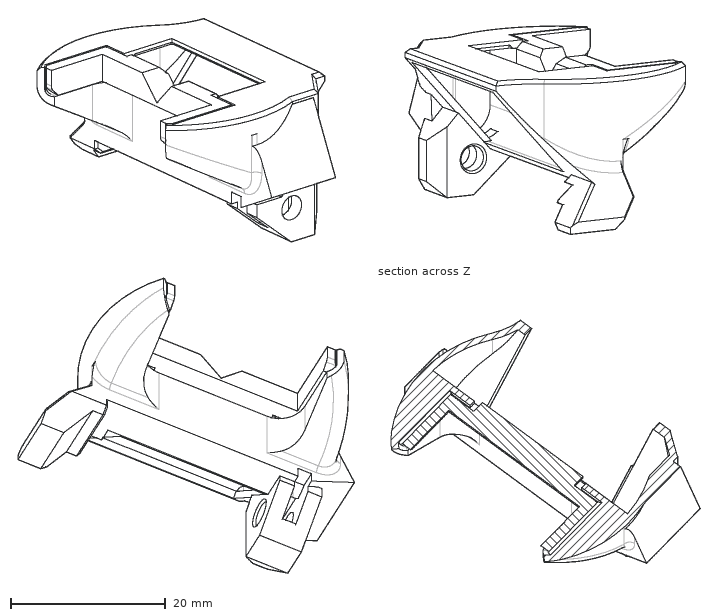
import cadquery as cq
import math

wall = 1.0
top_chamfer = 0.5
floor_top = -13.2
floor_bottom = -14.07
margin = 0.05
overshoot = 0.45
far = 43.3

disc_radius = 17.5
back_y = 15.98
tip_y = -11.65
tip_x = math.sqrt(disc_radius**2 - tip_y**2)
back_left_x = -12.5
back_right_x = 11.9
notch_corner_y = 14.45
flare_radius = (back_left_x**2 + back_y**2 - disc_radius**2) / (2 * (disc_radius + back_left_x))
side_x = 15.95
side_back_y = 11.55

rim_height = 1.2
slope_foot_y = 5.15
slope_angle = math.atan2(-rim_height - floor_top, back_y - slope_foot_y)

arm_slope = math.radians(30)
arm_root_z = -11.15
arm_rounding = 2.5
arm_root_fillet = 1.0
root_top_z = -2.6
root_left_top_z = -8.23
arm_inner_x = 11.45
arm_inner_fillet = 3.65
tip_inner_y = tip_y + tip_x - arm_inner_x

window_half_width = 9.45
window_back_y = 7.95
window_lip = 0.5
front_wall = 0.9
floor_fillet = 3.4
rear_opening_half_width = 10.82

leg_width = 10.7
leg_left_x = -22.8
leg_shoulder_z = -17.25
leg_bottom_z = -18.75
leg_sole_z = -16.1
leg_sole_left_x = -16.9
leg_inner_x = -15.1
leg_root_x = -13
leg_root_z = -6.93
leg_front_z = -15.25
leg_toe_y = 4.05
leg_heel_z = -17.9
leg_edge_chamfer = 0.3
leg_root_fillet = 2.0

block_corner_x = 20.5
block_corner_z = -10.6
block_foot_x = 14.05
block_top_x = 15.98
block_top_z = -0.85

post_left_x = 10.18
post_right_x = 16.25
post_front_z = -15.0
post_bottom_z = -19.9
post_toe_y = 6.8
post_front_y = 1.0
post_back_y = 12.7
post_chamfer = 2.0
post_top_y = 9.05
screw_diameter = 3.3
screw_chamfer = 0.3
screw_y = 6.85
screw_z = -15.15
nut_left_x = 12.3
nut_thickness = 1.95
nut_width = 5.5

gap = 0.3
pocket_half_width = 13.05
pocket_corner = 0.6
pocket_front_y = -10.85
pocket_depth = 4.03
pocket_fillet = 1.15
insert_half_width = pocket_half_width - gap
insert_inner_x = 11.05
insert_bar_front_y = -2.35
insert_height = 3.75
insert_fillet = 1.0
tongue_half_width = 8.55
tongue_back_y = 1.45
tongue_chamfer = 0.9
vee_half_width = 3.0
vee_depth = 3.25
insert_tip_chamfer = 1.15
insert_tip_fillet = 1.0


def prism_along_y(points, start_y, end_y):
    """Extrude an XZ outline from start_y to end_y."""
    plane = cq.Workplane("XZ", origin=(0, start_y, 0))
    return plane.polyline(points).close().extrude(start_y - end_y)


def prism_along_x(points, start_x, end_x):
    """Extrude a YZ outline from start_x to end_x."""
    plane = cq.Workplane("YZ", origin=(start_x, 0, 0))
    return plane.polyline(points).close().extrude(end_x - start_x)


def prism_down(points, top_z, bottom_z):
    """Extrude an XY outline from top_z down to bottom_z."""
    plane = cq.Workplane("XY", origin=(0, 0, top_z))
    return plane.polyline(points).close().extrude(bottom_z - top_z)


def slope_y(z):
    """Y of the outer sloping back face at height z."""
    return slope_foot_y + (z - floor_top) / math.tan(slope_angle)


def block_side_z(x):
    """Z of the tilted block's outer face at x."""
    steepness = (block_top_z - block_corner_z) / (block_corner_x - block_top_x)
    return block_corner_z + steepness * (block_corner_x - x)


def plan_outline():
    """Closed plan of the housing: disc sides, flared left corner, cut right corner."""
    flare_x = back_left_x - flare_radius
    blend = disc_radius / (disc_radius + flare_radius)
    blend_point = (flare_x * blend, back_y * blend)
    mid_angle = math.atan2(blend_point[1] - back_y, blend_point[0] - flare_x) / 2
    flare_mid = (
        flare_x + flare_radius * math.cos(mid_angle),
        back_y + flare_radius * math.sin(mid_angle),
    )
    side_front_y = math.sqrt(disc_radius**2 - side_x**2)
    return (
        cq.Workplane("XY")
        .moveTo(back_left_x, back_y)
        .lineTo(back_right_x, back_y)
        .lineTo(back_right_x, notch_corner_y)
        .lineTo(side_x, side_back_y)
        .lineTo(side_x, side_front_y)
        .threePointArc((0, -disc_radius), blend_point)
        .threePointArc(flare_mid, (back_left_x, back_y))
        .close()
    )


def head_blank():
    """Full-height plan, with a complete disc in front, chamfered around its top."""
    blank = plan_outline().extrude(floor_bottom)
    return blank.faces(">Z").edges().chamfer(top_chamfer)


def main_body(blank):
    """Part of the head behind Y = 0, under which the back face slopes forward."""
    profile = [
        (0, 0),
        (back_y, 0),
        (back_y, -rim_height),
        (slope_foot_y, floor_top),
        (slope_y(floor_bottom), floor_bottom),
        (0, floor_bottom),
    ]
    return blank.intersect(prism_along_x(profile, -far, far))


def arms(blank):
    """Part of the head in front of Y = 0, with a rising, rounded underside."""
    tip_z = arm_root_z - tip_y * math.tan(arm_slope)
    profile = [(0, 0), (tip_y, 0), (tip_y, tip_z), (0, arm_root_z)]
    solid = blank.intersect(prism_along_x(profile, -far, far))
    lower_edges = solid.faces("<Z").edges("not |X")
    return lower_edges.fillet(arm_rounding)


def arms_with_root(blank):
    """Arms with one fillet along their root on the Y = 0 face.

    The fillet is made on a temporary wall, then trimmed to the silhouette of the body behind the arms.
    """
    root_wall = prism_along_y([(-far, root_top_z), (far, root_top_z), (far, -far), (-far, -far)], 0, wall)
    around_root = cq.selectors.BoxSelector(
        (-far, -margin, arm_root_z - margin), (far, margin, root_top_z - margin)
    )
    plain_arms = arms(blank)
    filleted = plain_arms.union(root_wall).edges(around_root).fillet(arm_root_fillet)
    silhouette = [
        (-arm_inner_x, root_top_z),
        (disc_radius, root_top_z),
        (disc_radius, block_side_z(disc_radius)),
        (block_corner_x, block_corner_z),
        (block_foot_x, floor_bottom),
        (-disc_radius, floor_bottom),
        (-disc_radius, root_left_top_z),
        (-arm_inner_x, root_left_top_z),
    ]
    return plain_arms.union(filleted.intersect(prism_along_y(silhouette, tip_y, 0)))


def leg():
    """Left leg: a 45 degree strap with a foot, cut off obliquely at both ends."""
    inner_x = leg_root_x + wall
    section = [
        (leg_left_x, leg_shoulder_z),
        (inner_x, leg_shoulder_z + inner_x - leg_left_x),
        (inner_x, floor_bottom),
        (leg_inner_x, floor_bottom),
        (leg_inner_x, leg_sole_z),
        (leg_sole_left_x, leg_sole_z),
        (leg_sole_left_x + leg_bottom_z - leg_sole_z, leg_bottom_z),
        (leg_left_x, leg_bottom_z),
    ]
    side = [
        (0, leg_root_z),
        (slope_y(leg_root_z), leg_root_z),
        (slope_foot_y, floor_top),
        (leg_width, leg_heel_z),
        (leg_width, leg_bottom_z),
        (leg_toe_y, leg_bottom_z),
        (0, leg_front_z),
    ]
    disc = cq.Workplane("XY").circle(disc_radius).extrude(floor_bottom)
    strap = prism_along_y(section, -leg_width - wall, leg_width + wall).union(disc)
    strap = strap.edges("%ELLIPSE").fillet(leg_root_fillet)
    solid = strap.intersect(prism_along_x(side, -far, leg_root_x))
    rim = solid.faces("+(-1,0,1)").edges("%LINE and (not |Y)").edges("not >X")
    solid = rim.chamfer(leg_edge_chamfer)
    inner_edges = cq.selectors.BoxSelector(
        (leg_inner_x - margin, -margin, leg_sole_z - margin),
        (leg_inner_x + margin, slope_foot_y, floor_bottom - margin),
    )
    return solid.edges(inner_edges).chamfer(leg_edge_chamfer)


def block():
    """Tilted block on the right side."""
    section = [
        (block_corner_x, block_corner_z),
        (block_top_x, block_top_z),
        (side_x - wall, block_top_z),
        (block_foot_x, floor_bottom),
    ]
    return prism_along_y(section, 0, leg_width)


def below_block():
    """Space under the block's lower face, which also trims the disc."""
    section = [
        (block_foot_x, floor_bottom),
        (block_corner_x, block_corner_z),
        (far, block_corner_z),
        (far, -far),
        (block_foot_x, -far),
    ]
    return prism_along_y(section, -overshoot, far)


def front_opening():
    """Space between the arms, with 45 degree arm tips and rounded roots."""
    points = [
        (-arm_inner_x, 0),
        (arm_inner_x, 0),
        (arm_inner_x, tip_inner_y),
        (arm_inner_x + far, tip_inner_y - far),
        (-arm_inner_x - far, tip_inner_y - far),
        (-arm_inner_x, tip_inner_y),
    ]
    return prism_down(points, overshoot, -far).edges("|Z and >Y").fillet(arm_inner_fillet)


def insert_pocket():
    """Seat for the insert, together with the window behind it."""
    corner_x = pocket_half_width - pocket_corner
    corner_y = pocket_front_y + pocket_corner
    points = [
        (-pocket_half_width, 0),
        (pocket_half_width, 0),
        (pocket_half_width, corner_y),
        (corner_x, pocket_front_y),
        (-corner_x, pocket_front_y),
        (-pocket_half_width, corner_y),
    ]
    seat = prism_down(points, overshoot, -pocket_depth)
    seat = seat.faces("<Z").edges("not |X").fillet(pocket_fillet)
    window = cq.Workplane("XY").box(
        2 * window_half_width, window_back_y + overshoot, pocket_depth + overshoot, centered=(True, False, False)
    ).translate((0, -overshoot, -pocket_depth))
    return seat.union(window)


def inner_space():
    """Hollow under the top plate, open to the rear over its middle part."""
    roof = -2 * window_lip
    back_wall_run = wall / math.sin(slope_angle)
    roof_end_y = slope_y(roof) - back_wall_run
    through = 4 * wall
    lip_y = roof_end_y + through * math.sin(slope_angle)
    lip_z = roof - through * math.cos(slope_angle)
    tunnel_profile = [
        (front_wall, roof),
        (roof_end_y, roof),
        (lip_y, lip_z),
        (lip_y, floor_top),
        (front_wall, floor_top),
    ]
    tunnel = prism_along_x(tunnel_profile, -far, far).edges("|X and <Y and <Z").fillet(floor_fillet)
    inside_plan = plan_outline().offset2D(-wall).extrude(floor_top)
    inside_back = [
        (0, 0),
        (slope_y(0) - back_wall_run, 0),
        (slope_foot_y - back_wall_run, floor_top),
        (0, floor_top),
    ]
    wide_part = tunnel.intersect(inside_plan).intersect(prism_along_x(inside_back, -far, far))
    middle = cq.Workplane("XY").box(2 * rear_opening_half_width, 2 * far, 2 * far)
    open_part = tunnel.intersect(middle)
    flare_front_y = front_wall + wall
    window_flare = (
        cq.Workplane("XY", origin=(0, (window_back_y + flare_front_y) / 2, -window_lip))
        .rect(2 * window_half_width, window_back_y - flare_front_y)
        .extrude(-window_lip, taper=-45)
    )
    return wide_part.union(open_part).union(window_flare)


def post():
    """Screw post under the right side."""
    top_z = floor_top + (post_top_y - slope_foot_y) * math.tan(slope_angle)
    profile = [
        (post_front_y, floor_top),
        (slope_foot_y, floor_top),
        (post_top_y, top_z),
        (post_back_y, top_z - (post_back_y - post_top_y)),
        (post_back_y, post_bottom_z + post_chamfer),
        (post_back_y - post_chamfer, post_bottom_z),
        (post_toe_y, post_bottom_z),
        (post_front_y, post_front_z),
    ]
    solid = prism_along_x(profile, post_left_x, post_right_x)
    plan = (
        cq.Workplane("XY")
        .moveTo((post_left_x + post_right_x) / 2, post_back_y / 2)
        .rect(post_right_x - post_left_x, post_back_y)
        .extrude(-far)
        .edges("|Z and >Y")
        .chamfer(post_chamfer)
    )
    return solid.intersect(plan)


def screw_and_nut():
    """Cross hole with a chamfered mouth, and the nut slot that enters from the front."""
    radius = screw_diameter / 2
    axis_plane = cq.Workplane("YZ", origin=(post_left_x, screw_y, screw_z))
    hole = axis_plane.circle(radius).extrude(post_right_x - post_left_x)
    mouth = axis_plane.circle(radius + screw_chamfer).extrude(screw_chamfer, taper=45)
    slot = cq.Workplane("XY").box(
        nut_thickness, screw_y + nut_width / 2, nut_width, centered=(False, False, True)
    ).translate((nut_left_x, 0, screw_z))
    return hole.union(mouth).union(slot)


def make_housing():
    """Housing: hollow head with two forward arms, a left leg, a right block and a screw post."""
    blank = head_blank()
    body = main_body(blank).union(leg()).union(block()).cut(below_block())
    body = body.union(arms_with_root(blank)).cut(inner_space())
    body = body.cut(front_opening()).cut(insert_pocket())
    return body.union(post()).cut(screw_and_nut())


def make_insert():
    """U-shaped rear sight with a V notch and a tongue that reaches into the window."""
    front_y = pocket_front_y
    corner_y = front_y + pocket_corner
    corner_x = insert_half_width - pocket_corner
    outline = [
        (-insert_half_width, -gap),
        (insert_half_width, -gap),
        (insert_half_width, corner_y),
        (corner_x, front_y),
        (-corner_x, front_y),
        (-insert_half_width, corner_y),
    ]
    bar = prism_down(outline, 0, -insert_height).faces("<Z").edges("not |X").fillet(insert_fillet)
    between_arms = cq.Workplane("XY").box(2 * insert_inner_x, far, far)
    bar = bar.cut(between_arms.translate((0, insert_bar_front_y - far / 2, 0)))
    tip_z = insert_tip_chamfer - insert_height
    tip_cut = prism_along_x(
        [
            (front_y, -insert_height),
            (front_y + insert_tip_chamfer, -insert_height),
            (front_y, tip_z),
        ],
        -far,
        far,
    )
    bar = bar.cut(tip_cut)
    tip_edges = cq.selectors.BoxSelector(
        (-far, front_y - margin, tip_z - margin),
        (far, front_y + margin, tip_z + margin),
    )
    bar = bar.edges(tip_edges).fillet(insert_tip_fillet)
    tongue = cq.Workplane("XY").box(
        2 * tongue_half_width, tongue_back_y + 2 * gap, insert_height, centered=(True, False, False)
    ).translate((0, -2 * gap, -insert_height))
    tongue = tongue.edges(">Y and >Z").chamfer(tongue_chamfer)
    vee = prism_along_y([(-vee_half_width, 0), (vee_half_width, 0), (0, -vee_depth)], -far, far)
    return bar.union(tongue).cut(vee)


housing = make_housing()
insert = make_insert()
result = cq.Compound.makeCompound([housing.val(), insert.val()])